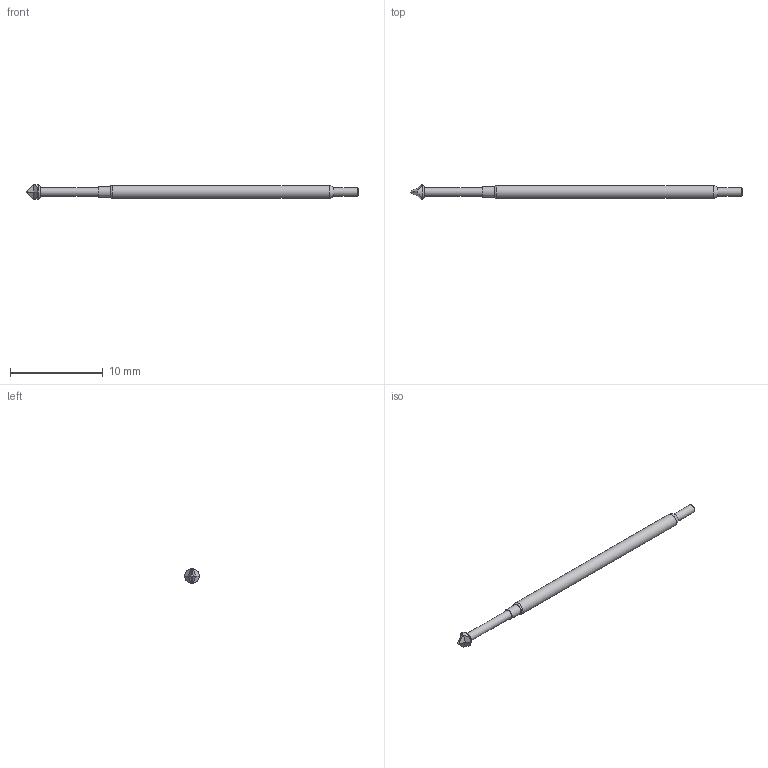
import cadquery as cq
import math

total_length = 35.81

head_radius = 0.79
head_rim_end = 1.32
head_back_radius = 0.55
head_length = 1.56

shaft_radius = 0.45
collar_start = 7.80
collar_radius = 0.56
barrel_start = 9.12
barrel_radius = 0.69
barrel_start_radius = 0.63
barrel_start_round = 0.20
barrel_end = 33.20
barrel_end_round = 0.50
tail_radius = 0.45
tail_chamfer = 0.08

tip_edge_half_width = 0.09
flare_start = 0.82
flare_start_half_width = 0.40
facet_lean = (flare_start_half_width - tip_edge_half_width) / flare_start
cutter_reach = 1.5 * head_radius


def round_middle(tangent_x, length, drop):
    """Midpoint of the arc that leaves the barrel side tangentially and drops toward the tip."""
    arc_radius = (length**2 + drop**2) / (2 * drop)
    half_angle = math.asin(length / arc_radius) / 2
    x = tangent_x - arc_radius * math.sin(half_angle)
    z = barrel_radius - arc_radius * (1 - math.cos(half_angle))
    return x, z


def make_turned_body():
    """Revolve the half outline about the X axis."""
    shoulder_middle = round_middle(
        barrel_start + barrel_start_round, barrel_start_round, barrel_radius - barrel_start_radius
    )
    outline = (
        cq.Workplane("XZ")
        .moveTo(0, 0)
        .lineTo(head_radius, head_radius)
        .lineTo(head_rim_end, head_radius)
        .lineTo(head_length, head_back_radius)
        .lineTo(head_length, shaft_radius)
        .lineTo(collar_start, shaft_radius)
        .lineTo(collar_start, collar_radius)
        .lineTo(barrel_start, collar_radius)
        .lineTo(barrel_start, barrel_start_radius)
        .threePointArc(shoulder_middle, (barrel_start + barrel_start_round, barrel_radius))
        .lineTo(barrel_end - barrel_end_round, barrel_radius)
        .tangentArcPoint((barrel_end, tail_radius), relative=False)
        .lineTo(total_length - tail_chamfer, tail_radius)
        .lineTo(total_length, tail_radius - tail_chamfer)
        .lineTo(total_length, 0)
        .close()
    )
    return outline.revolve(360, (0, 0, 0), (1, 0, 0))


def make_facet_cutter():
    """Waste beside the tip in the +Y +Z quarter, leaning inward as it rises."""
    flare_end = flare_start + cutter_reach - flare_start_half_width
    profile = cq.Wire.makePolygon(
        [
            cq.Vector(0, tip_edge_half_width, 0),
            cq.Vector(flare_start, flare_start_half_width, 0),
            cq.Vector(flare_end, cutter_reach, 0),
            cq.Vector(0, cutter_reach, 0),
        ],
        close=True,
    )
    rise = cq.Vector(0, -facet_lean, 1) * head_radius
    return cq.Workplane(obj=cq.Solid.extrudeLinear(profile, [], rise))


def grind_tip(body):
    """Cut the facets in all four quarters of the head."""
    upper_left = make_facet_cutter()
    upper_right = upper_left.mirror("XZ")
    for upper_cutter in (upper_left, upper_right):
        body = body.cut(upper_cutter).cut(upper_cutter.mirror("XY"))
    return body


result = grind_tip(make_turned_body())